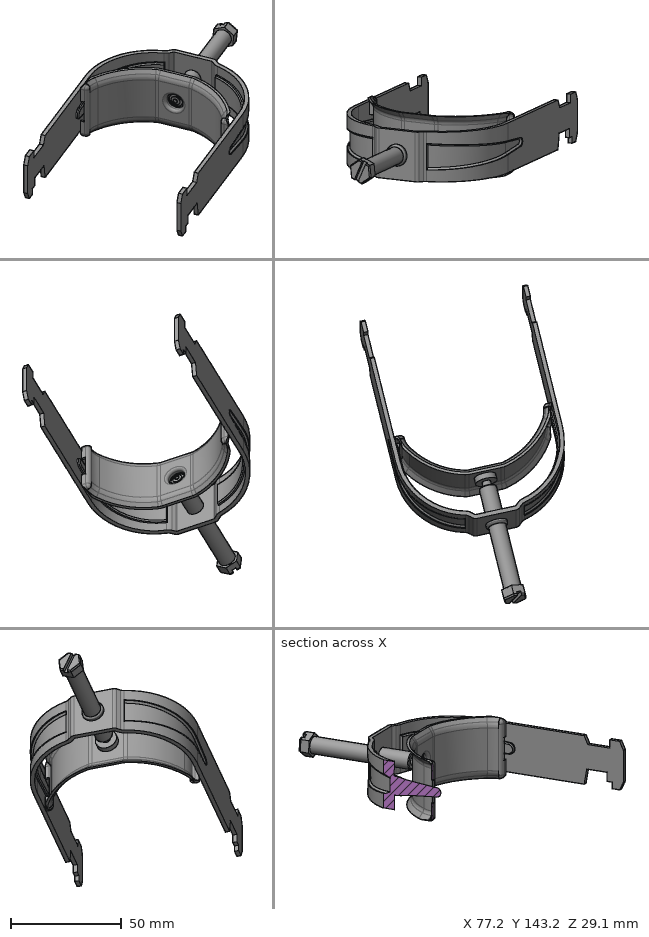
import cadquery as cq
import math

LENGTH = 143.2
TOLERANCE = 0.01

STRAP_T = 2.0
STRAP_HALF_W = 38.58
STRAP_HALF_H = 11.52
SHOULDER_R = 32.9
SHOULDER_X = STRAP_HALF_W - SHOULDER_R
SHOULDER_Y = 70.9
CROWN_Y = 105.5
CROWN_BEND_R = 2.6
JOGGLE_R = 3.0
JOGGLE_SLOPE = math.radians(42)
SHOULDER_END_X = 13.6

FOOT_NECK_TOP = 7.6
FOOT_NECK_BOTTOM = 4.2
FOOT_TIP_BEVEL = 1.9
LEG_END_Y = 19.9
NECK_TOP_Y = 18.0
NECK_BOTTOM_Y = 18.6
HOOK_TOP_Y = 7.0
HOOK_STEP_Y = 8.3
HOOK_BOTTOM_Y = 5.7
HOOK_STEP_Z = 8.5

RIB_DEPTH = 1.3
GROOVE_BEVEL = 0.9
PAD_BEVEL = 0.6
RIB_HALF_W = 6.2
RIB_WIDE_Y = 103.0
RIB_TIP_R = 2.0
RIB_TIP_CENTRE_Y = 57.7
RIB_WALL = 0.7
RIB_END_WALL = 1.0

SCREW_D = 8.0
SCREW_END_Y = 88.0
SCREW_END_CHAMFER = 0.5
COLLAR_D = 10.0
COLLAR_H = 1.7
COLLAR_FILLET = 0.9
HEAD_FLATS = 9.9
HEAD_H = 5.0
HEAD_TURN = 6.0
HEAD_BEVEL = 0.5
HEAD_BEVEL_H = 0.9
SLOT_W = 2.0
SLOT_DEPTH = 1.9
PIN_D = 4.0
RIVET_STEP_DIAMETERS = (6.6, 4.5, 2.0)
RIVET_STEP_H = 0.5

SADDLE_T = 1.0
SADDLE_R = 35.8
SADDLE_Y = 46.8
WING_ARC_END = 58.0
WING_END_R = 12.7
WING_END = 81.0
FACE_HALF_H = 10.2
KINK = 14.4
KINK_R = 5.7
SIDE_FLANGE_R = 4.2
SIDE_FLANGE_ANGLE = math.radians(38)
SADDLE_HALF_H = 14.53
END_FLANGE_R = 2.1
END_FLANGE_X = 36.2
END_CORNER = 1.9
NOTCH_X = 34.4
NOTCH_HALF_H = 5.5

CUP_D = 8.0
CUP_MOUTH_R = 1.5
CUP_BACK_Y = 85.3

KINK_CENTRE_R = SADDLE_R - KINK_R
FLAT_HALF = KINK_CENTRE_R * math.sin(math.radians(KINK))
KINK_Y = SADDLE_Y + KINK_CENTRE_R * math.cos(math.radians(KINK))
SADDLE_FACE_Y = KINK_Y + KINK_R
WING_END_CENTRE_X = (SADDLE_R - WING_END_R) * math.sin(math.radians(WING_ARC_END))
WING_END_CENTRE_Y = SADDLE_Y + (SADDLE_R - WING_END_R) * math.cos(math.radians(WING_ARC_END))
CUP_FLOOR_Y = CUP_BACK_Y - SADDLE_T


def rod(diameter, y_start, y_end):
    """Cylinder on the screw axis."""
    plane = cq.Workplane("XZ", origin=(0, y_start, 0))
    return plane.circle(diameter / 2).extrude(y_start - y_end)


def strap_region(depth):
    """Solid region inside the strap, its outline moved inward by depth from the outside."""
    shoulder_tilt = math.asin((SHOULDER_END_X - SHOULDER_X) / SHOULDER_R)

    def on_arc(centre, radius, angle):
        """Point of an arc, its angle measured clockwise from the +Y direction."""
        return centre[0] + radius * math.sin(angle), centre[1] + radius * math.cos(angle)

    shoulder = (SHOULDER_X, SHOULDER_Y)
    shoulder_mid = on_arc(shoulder, SHOULDER_R, (math.pi / 2 + shoulder_tilt) / 2)
    shoulder_end = on_arc(shoulder, SHOULDER_R, shoulder_tilt)

    joggle = on_arc(shoulder, SHOULDER_R + JOGGLE_R, shoulder_tilt)
    joggle_mid = on_arc(joggle, -JOGGLE_R, (JOGGLE_SLOPE + shoulder_tilt) / 2)
    joggle_end = on_arc(joggle, -JOGGLE_R, JOGGLE_SLOPE)

    crown_y = CROWN_Y - CROWN_BEND_R
    slope_rise = crown_y + CROWN_BEND_R * math.cos(JOGGLE_SLOPE) - joggle_end[1]
    slope_run = slope_rise / math.tan(JOGGLE_SLOPE)
    crown = (joggle_end[0] - slope_run - CROWN_BEND_R * math.sin(JOGGLE_SLOPE), crown_y)

    outline = (
        cq.Workplane("XY", origin=(0, 0, -STRAP_HALF_H))
        .moveTo(0, -STRAP_T)
        .lineTo(STRAP_HALF_W, -STRAP_T)
        .lineTo(STRAP_HALF_W, SHOULDER_Y)
        .threePointArc(shoulder_mid, shoulder_end)
        .threePointArc(joggle_mid, joggle_end)
        .lineTo(*on_arc(crown, CROWN_BEND_R, JOGGLE_SLOPE))
        .threePointArc(on_arc(crown, CROWN_BEND_R, JOGGLE_SLOPE / 2), on_arc(crown, CROWN_BEND_R, 0))
        .lineTo(0, CROWN_Y)
        .mirrorY()
    )
    if depth > 0:
        outline = outline.offset2D(-depth)
    return outline.extrude(2 * STRAP_HALF_H)


def strap_layer(outer_depth, inner_depth):
    return strap_region(outer_depth).cut(strap_region(inner_depth))


def leg_profile():
    """Outline of the strap seen along X, with the foot hook at its end."""
    points = [
        (LENGTH, STRAP_HALF_H),
        (LEG_END_Y, STRAP_HALF_H),
        (NECK_TOP_Y, FOOT_NECK_TOP),
        (HOOK_TOP_Y, FOOT_NECK_TOP),
        (HOOK_TOP_Y, STRAP_HALF_H),
        (FOOT_TIP_BEVEL, STRAP_HALF_H),
        (0, FOOT_NECK_TOP),
        (0, -FOOT_NECK_TOP),
        (FOOT_TIP_BEVEL, -STRAP_HALF_H),
        (HOOK_BOTTOM_Y, -STRAP_HALF_H),
        (HOOK_BOTTOM_Y, -HOOK_STEP_Z),
        (HOOK_STEP_Y, -HOOK_STEP_Z),
        (HOOK_STEP_Y, -FOOT_NECK_BOTTOM),
        (NECK_BOTTOM_Y, -FOOT_NECK_BOTTOM),
        (LEG_END_Y, -STRAP_HALF_H),
        (LENGTH, -STRAP_HALF_H),
    ]
    plane = cq.Workplane("YZ", origin=(-STRAP_HALF_W, 0, 0))
    return plane.polyline(points).close().extrude(2 * STRAP_HALF_W)


def depth_in_strap(point):
    """Distance of a point on the +X leg or shoulder below the strap's outside."""
    if point.y < SHOULDER_Y:
        return STRAP_HALF_W - point.x
    return SHOULDER_R - math.hypot(point.x - SHOULDER_X, point.y - SHOULDER_Y)


def rib(outer_depth, x_start, growth, bevel):
    """Tapered wedge in a layer of the +X side, its outline grown and its inner face bevelled."""
    half_w = RIB_HALF_W + growth
    tip_r = RIB_TIP_R + growth
    wedge = (
        cq.Workplane("YZ", origin=(x_start, 0, 0))
        .moveTo(LENGTH, half_w)
        .lineTo(RIB_WIDE_Y, half_w)
        .lineTo(RIB_TIP_CENTRE_Y, tip_r)
        .threePointArc((RIB_TIP_CENTRE_Y - tip_r, 0), (RIB_TIP_CENTRE_Y, -tip_r))
        .lineTo(RIB_WIDE_Y, -half_w)
        .lineTo(LENGTH, -half_w)
        .close()
        .extrude(STRAP_HALF_W)
    )
    inner_depth = outer_depth + RIB_DEPTH
    body = strap_layer(outer_depth, inner_depth).intersect(wedge)

    def on_inner_rim(edge):
        middle = edge.positionAt(0.5)
        is_crosswise = edge.geomType() == "LINE" and abs(middle.z) < TOLERANCE
        beyond_joggle = middle.x > SHOULDER_END_X
        is_inner = abs(depth_in_strap(middle) - inner_depth) < TOLERANCE
        return is_inner and beyond_joggle and not is_crosswise

    rim = [edge for edge in body.edges().vals() if on_inner_rim(edge)]
    return body.newObject(rim).chamfer(bevel)


def make_strap():
    strap = strap_layer(0, STRAP_T).intersect(leg_profile())
    pad = rib(STRAP_T, SHOULDER_END_X - RIB_END_WALL, RIB_WALL, PAD_BEVEL)
    groove = rib(0, SHOULDER_END_X, 0, GROOVE_BEVEL)
    strap = strap.union(pad).union(pad.mirror("YZ"))
    strap = strap.cut(groove).cut(groove.mirror("YZ"))
    collar = rod(COLLAR_D, CROWN_Y, CROWN_Y + COLLAR_H).faces(">Y").fillet(COLLAR_FILLET)
    return strap.union(collar).cut(rod(SCREW_D, CROWN_Y - 2 * STRAP_T, LENGTH))


def screw_head():
    seat_y = LENGTH - HEAD_H
    corner_d = HEAD_FLATS / math.cos(math.pi / 6)
    head = (
        cq.Workplane("XZ", origin=(0, seat_y, 0))
        .polygon(6, corner_d)
        .extrude(-HEAD_H)
        .faces(">Y")
        .chamfer(HEAD_BEVEL_H, HEAD_BEVEL)
    )
    slot = cq.Workplane("XY").box(SLOT_W, 2 * SLOT_DEPTH, 2 * HEAD_FLATS).translate((0, LENGTH, 0))
    flat_to_corner = 30
    return head.cut(slot).rotate((0, 0, 0), (0, 1, 0), HEAD_TURN - flat_to_corner)


def make_screw():
    shaft = rod(SCREW_D, SCREW_END_Y, LENGTH - HEAD_H).faces("<Y").chamfer(SCREW_END_CHAMFER)
    screw = shaft.union(screw_head()).union(rod(PIN_D, CUP_FLOOR_Y, SCREW_END_Y))
    for step, diameter in enumerate(RIVET_STEP_DIAMETERS, start=1):
        screw = screw.union(rod(diameter, CUP_FLOOR_Y - step * RIVET_STEP_H, CUP_FLOOR_Y))
    return screw


def flange_section(plane, bend_r, angle, tip_face, tip_back):
    """Flange on a local plane: x runs along the face outward, y from the face to the back."""
    back_r = bend_r - SADDLE_T

    def on_bend(radius, turn):
        return radius * math.sin(turn), bend_r - radius * math.cos(turn)

    return (
        cq.Workplane(plane)
        .moveTo(*on_bend(bend_r, 0))
        .threePointArc(on_bend(bend_r, angle / 2), on_bend(bend_r, angle))
        .lineTo(*tip_face)
        .lineTo(*tip_back)
        .lineTo(*on_bend(back_r, angle))
        .threePointArc(on_bend(back_r, angle / 2), on_bend(back_r, 0))
        .close()
    )


def side_flange_section(plane):
    """Side flange, cut off level at the top of the saddle."""
    reach = SADDLE_HALF_H - FACE_HALF_H

    def tip(radius):
        slope = (reach - radius * math.sin(SIDE_FLANGE_ANGLE)) * math.tan(SIDE_FLANGE_ANGLE)
        return reach, SIDE_FLANGE_R - radius * math.cos(SIDE_FLANGE_ANGLE) + slope

    tip_face = tip(SIDE_FLANGE_R)
    tip_back = tip(SIDE_FLANGE_R - SADDLE_T)
    return flange_section(plane, SIDE_FLANGE_R, SIDE_FLANGE_ANGLE, tip_face, tip_back)


def strip_sections(x, face_y):
    """Web and side flanges of the saddle sketched at constant x, each with its +X extrusion sign."""
    up = cq.Plane(origin=(x, face_y, FACE_HALF_H), xDir=(0, 0, 1), normal=(-1, 0, 0))
    down = cq.Plane(origin=(x, face_y, -FACE_HALF_H), xDir=(0, 0, -1), normal=(1, 0, 0))
    web = cq.Workplane("YZ", origin=(x, face_y + SADDLE_T / 2, 0)).rect(SADDLE_T, 2 * FACE_HALF_H)
    return [(web, 1), (side_flange_section(up), -1), (side_flange_section(down), 1)]


def strip_arc(radius, centre_x, centre_y, start, end):
    """Strip bent around a Z axis, from start to end degrees clockwise off the +Y direction."""
    pieces = []
    for section, _sign in strip_sections(0, radius):
        plane = section.plane
        axis_start = plane.toLocalCoords(cq.Vector(0, 0, 0))
        axis_end = plane.toLocalCoords(cq.Vector(0, 0, -1.5))
        piece = section.revolve(end - start, axis_start.toTuple()[:2], axis_end.toTuple()[:2])
        pieces.append(piece.rotate((0, 0, 0), (0, 0, 1), -start).translate((centre_x, centre_y, 0)))
    return pieces


def end_flange():
    """Flange that turns the wing end out along X, with rounded corners and a notch for the rib."""
    turn = math.radians(WING_END)
    root_x = WING_END_CENTRE_X + WING_END_R * math.sin(turn)
    root_y = WING_END_CENTRE_Y + WING_END_R * math.cos(turn)
    along = (math.cos(turn), -math.sin(turn), 0)

    bend_end = (END_FLANGE_R * math.sin(turn), END_FLANGE_R * (1 - math.cos(turn)))
    lip = END_FLANGE_X - root_x - END_FLANGE_R * math.sin(turn)
    tip_face = (bend_end[0] + lip * math.cos(turn), bend_end[1] + lip * math.sin(turn))
    tip_back = (tip_face[0] - SADDLE_T * math.sin(turn), tip_face[1] + SADDLE_T * math.cos(turn))
    half_h = SADDLE_HALF_H - tip_face[0]

    def section_at(z):
        plane = cq.Plane(origin=(root_x, root_y, z), xDir=along, normal=(0, 0, 1))
        return flange_section(plane, END_FLANGE_R, turn, tip_face, tip_back)

    straight = section_at(-half_h).extrude(2 * half_h)
    upper = section_at(half_h).revolve(90, (0, 0), (0, -1))
    lower = section_at(-half_h).revolve(90, (0, 0), (0, 1))
    notch = cq.Workplane("XY").box(STRAP_HALF_W, LENGTH, 2 * NOTCH_HALF_H)
    notch = notch.translate((NOTCH_X + STRAP_HALF_W / 2, SADDLE_Y, 0))
    return [straight.cut(notch), upper, lower]


def corner_cutters():
    """Wedges that bevel the four corners of the saddle's outline seen along Y."""
    corner = (
        cq.Workplane("XZ")
        .moveTo(END_FLANGE_X, SADDLE_HALF_H)
        .lineTo(END_FLANGE_X - END_CORNER, SADDLE_HALF_H)
        .lineTo(END_FLANGE_X, SADDLE_HALF_H - END_CORNER)
        .close()
        .extrude(-LENGTH)
    )
    right_corners = [corner, corner.mirror("XY")]
    return right_corners + [cutter.mirror("YZ") for cutter in right_corners]


def cup_hollow():
    """Hollow of the cup, its mouth rounded out into the saddle's face."""
    radius = CUP_D / 2
    rounded_y = SADDLE_FACE_Y + CUP_MOUTH_R
    diagonal = CUP_MOUTH_R * (1 - math.sqrt(0.5))
    return (
        cq.Workplane("XY")
        .moveTo(0, SADDLE_FACE_Y)
        .lineTo(radius + CUP_MOUTH_R, SADDLE_FACE_Y)
        .threePointArc((radius + diagonal, SADDLE_FACE_Y + diagonal), (radius, rounded_y))
        .lineTo(radius, CUP_FLOOR_Y)
        .lineTo(0, CUP_FLOOR_Y)
        .close()
        .revolve(360, (0, 0), (0, 1))
    )


def make_saddle():
    wing = strip_arc(KINK_R, FLAT_HALF, KINK_Y, 0, KINK)
    wing += strip_arc(SADDLE_R, 0, SADDLE_Y, KINK, WING_ARC_END)
    wing += strip_arc(WING_END_R, WING_END_CENTRE_X, WING_END_CENTRE_Y, WING_ARC_END, WING_END)
    wing += end_flange()
    middle = [
        section.extrude(sign * 2 * FLAT_HALF)
        for section, sign in strip_sections(-FLAT_HALF, SADDLE_FACE_Y)
    ]
    saddle = rod(CUP_D + 2 * SADDLE_T, SADDLE_FACE_Y, CUP_BACK_Y)
    for piece in middle + wing + [piece.mirror("YZ") for piece in wing]:
        saddle = saddle.union(piece)
    for cutter in corner_cutters():
        saddle = saddle.cut(cutter)
    saddle = saddle.cut(rod(PIN_D, CUP_FLOOR_Y, CUP_BACK_Y))
    return saddle.cut(cup_hollow())


strap = make_strap()
screw = make_screw()
saddle = make_saddle()

result = cq.Compound.makeCompound([strap.val(), screw.val(), saddle.val()])